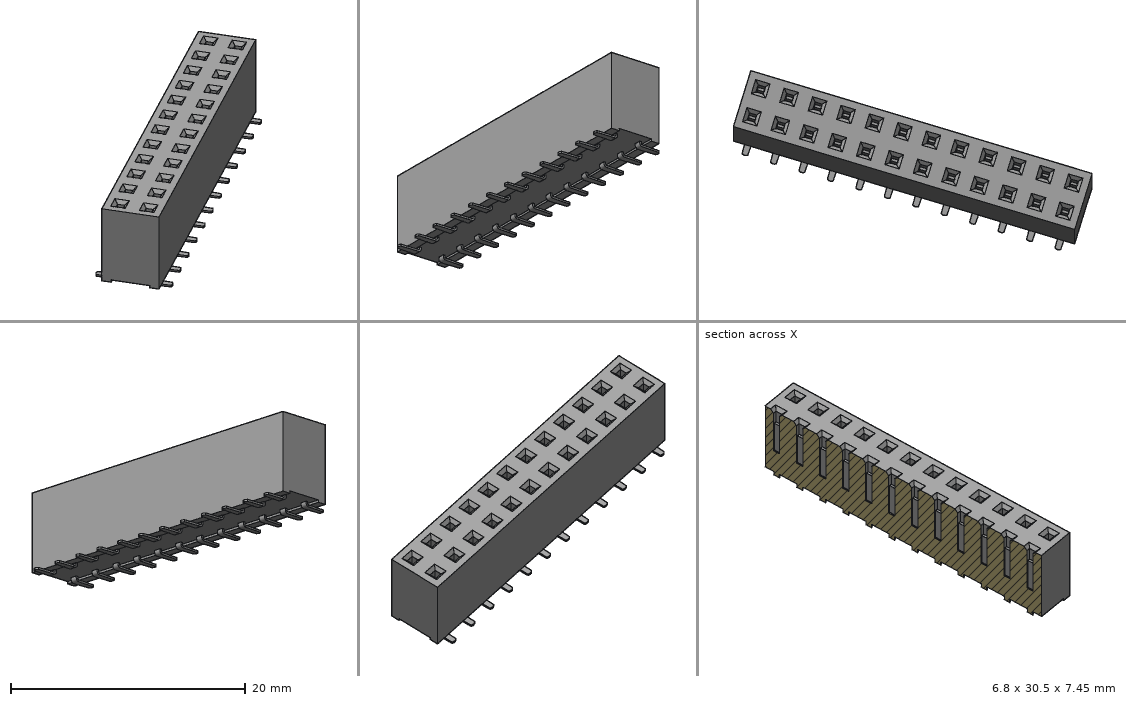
import cadquery as cq

contacts_per_row = 12
row_count = 2
body_length = 30.48
pitch = body_length / contacts_per_row
total_width = 6.8
total_height = 7.45

body_width = row_count * pitch
body_bottom = 0.25
channel_width = 3.4
channel_top = 0.45

entry_size = 1.28
hole_size = 0.65
entry_depth = (entry_size - hole_size) / 2
prong_top_depth = 1.52
slot_width = 0.18
slot_depth = 4.57

lead_width = 0.65
lead_tip_width = 0.52
lead_thickness = 0.18
bend_inner_radius = 0.12
bend_outer_radius = bend_inner_radius + lead_thickness
lead_tip_bulge = 0.1
lead_embed = 0.3

contact_x = pitch / 2
contact_rows_y = [(i - (contacts_per_row - 1) / 2) * pitch for i in range(contacts_per_row)]
contact_points = [(side * contact_x, y) for side in (-1, 1) for y in contact_rows_y]


def make_body():
    block = (
        cq.Workplane("XY")
        .workplane(offset=body_bottom)
        .rect(body_width, body_length)
        .extrude(total_height - body_bottom)
    )
    channel = cq.Workplane("XY").rect(channel_width, body_length).extrude(channel_top)
    return block.cut(channel)


def make_socket():
    """Material removed for one socket, centred on the Z axis."""
    top = cq.Workplane("XY").workplane(offset=total_height)
    entry = (
        top.rect(entry_size, entry_size)
        .workplane(offset=-entry_depth)
        .rect(hole_size, hole_size)
        .loft(ruled=True)
    )
    hole = (
        cq.Workplane("XY")
        .workplane(offset=total_height - prong_top_depth)
        .rect(hole_size, hole_size)
        .extrude(prong_top_depth - entry_depth)
    )
    slot = (
        cq.Workplane("XY")
        .workplane(offset=total_height - slot_depth)
        .rect(slot_width, hole_size)
        .extrude(slot_depth - prong_top_depth)
    )
    return entry.union(hole).union(slot)


def make_lead():
    """Lead of the +X row, centred on Y = 0: a foot on Z = 0 and a post rising into the body."""
    post_near_x = contact_x - lead_thickness / 2
    post_far_x = post_near_x + lead_thickness
    bend_end_x = post_near_x + bend_outer_radius
    tip_x = total_width / 2
    post_top = channel_top + lead_embed
    blank = (
        cq.Workplane("XZ")
        .moveTo(post_near_x, post_top)
        .lineTo(post_near_x, bend_outer_radius)
        .radiusArc((bend_end_x, 0), -bend_outer_radius)
        .lineTo(tip_x, 0)
        .lineTo(tip_x, lead_thickness)
        .lineTo(bend_end_x, lead_thickness)
        .radiusArc((post_far_x, bend_outer_radius), bend_inner_radius)
        .lineTo(post_far_x, post_top)
        .close()
        .extrude(lead_width / 2, both=True)
    )
    half_width = lead_width / 2
    half_tip = lead_tip_width / 2
    tip_corner_x = tip_x - lead_tip_bulge
    plan = (
        cq.Workplane("XY")
        .moveTo(post_near_x, -half_width)
        .lineTo(bend_end_x, -half_width)
        .lineTo(tip_corner_x, -half_tip)
        .threePointArc((tip_x, 0), (tip_corner_x, half_tip))
        .lineTo(bend_end_x, half_width)
        .lineTo(post_near_x, half_width)
        .close()
        .extrude(post_top)
    )
    return blank.intersect(plan)


right_lead = make_lead()
left_lead = right_lead.mirror("YZ")

socket = make_socket().val()
sockets = cq.Workplane("XY").pushPoints(contact_points).eachpoint(lambda place: socket.moved(place))

result = make_body().cut(sockets)
for y in contact_rows_y:
    for lead in (left_lead, right_lead):
        result = result.union(lead.translate((0, y, 0)))